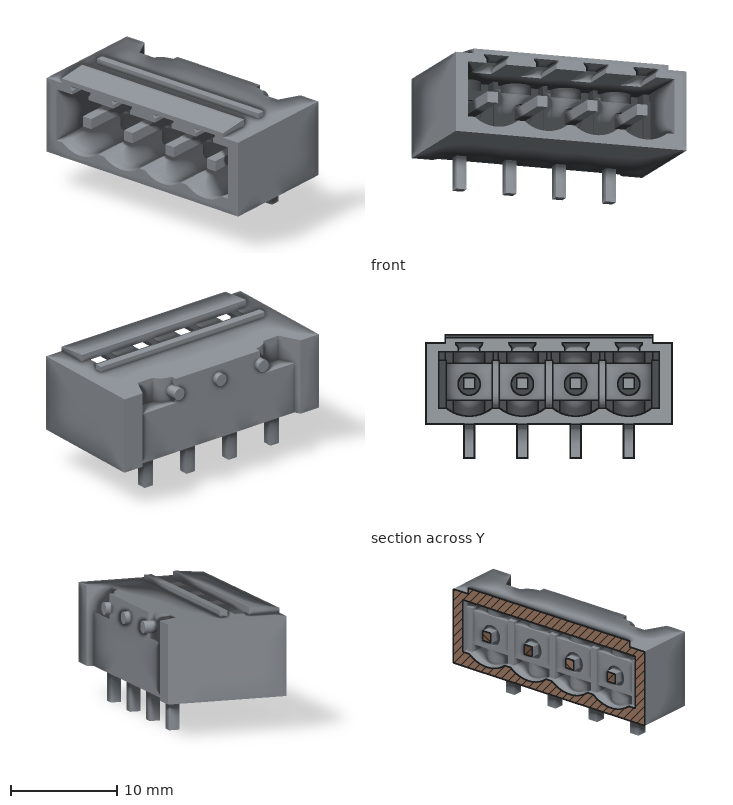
import cadquery as cq


pin_count = 4
pitch = 5.0
pin_width = 1.02
pin_height = 1.05
pin_axis_z = 3.83
pin_tip_y = 1.0
leg_front_y = 9.47
leg_length = 3.2

length = 23.2
depth = 12.0
height = 7.65

cavity_width = 20.79
cavity_floor_z = 1.5
roof_thickness = 0.84
cavity_roof_z = height - roof_thickness
wall_y = 6.5

cell_width = 4.32
cell_back_y = 8.35
trough_sag = 0.77
upper_cell_width = 4.55
upper_cell_z = 6.0
upper_divider_setback = 0.46
column_radius = 1.48
pin_block_z0 = 2.25
pin_block_z1 = 5.73
pin_block_setback = 0.19
counterbore_diameter = 2.09
counterbore_depth = 0.46
counterbore_axis_z = 3.75

slot_top_width = 2.5
slot_bottom_width = 2.02
slot_lip = 0.15
slot_taper_depth = 0.46
slot_depth = 4.15

ledge_width = 19.58
ledge_depth = 3.13
ledge_flat = 0.3
ledge_front_height = 0.46
ledge_back_height = 0.77
rib_front_y = 5.3
rib_depth = 0.75
rib_height = 0.6

back_setback = 0.58
corner_top_width = 2.15
corner_root_width = 3.2
notch_depth = 2.09
notch_height = 2.5
shoulder_radius = 1.9
shoulder_axis_y = 8.9
peg_radius = 0.6
peg_axis_z = 6.26
peg_positions = [-pitch, 0, pitch]

pin_positions = [(i - (pin_count - 1) / 2) * pitch for i in range(pin_count)]


def box(x_size, y0, y1, z0, z1, x=0):
    """Block centred on x, spanning y0 to y1 and z0 to z1."""
    block = cq.Workplane("XY").box(x_size, y1 - y0, z1 - z0, centered=(True, False, False))
    return block.translate((x, y0, z0))


def cylinder_along_y(radius, x, z, y0, y1):
    """Round bar on an axis parallel to Y."""
    return cq.Workplane("XZ", origin=(x, y0, z)).circle(radius).extrude(y0 - y1)


def make_pin(x):
    """Right-angled pin: a tail along Y to the front and a leg down through the underside."""
    leg_back_y = leg_front_y + pin_width
    top_z = pin_axis_z + pin_height / 2
    tail = box(pin_width, pin_tip_y, leg_back_y, top_z - pin_height, top_z, x)
    leg = box(pin_width, leg_front_y, leg_back_y, -leg_length, top_z, x)
    return tail.union(leg)


def trough(x):
    """Arc-bottomed groove in the cavity floor, running to the back of a cell."""
    return (
        cq.Workplane("XZ", origin=(x, 0, cavity_floor_z))
        .moveTo(-cell_width / 2, 0)
        .threePointArc((0, -trough_sag), (cell_width / 2, 0))
        .close()
        .extrude(-cell_back_y)
    )


def cell(x):
    """Recess behind the cavity for one pin, wider at its top."""
    lower = box(cell_width, wall_y, cell_back_y, cavity_floor_z, cavity_roof_z, x)
    upper = box(upper_cell_width, wall_y, cell_back_y, upper_cell_z, cavity_roof_z, x)
    return lower.union(upper)


def pin_support(x):
    """Upright column at the back of a cell and the block across it that the pin passes through."""
    column = (
        cq.Workplane("XY", origin=(x, cell_back_y, cavity_floor_z - trough_sag))
        .circle(column_radius)
        .extrude(cavity_roof_z - cavity_floor_z + trough_sag)
    )
    block_front_y = wall_y + pin_block_setback
    block = box(cell_width, block_front_y, cell_back_y, pin_block_z0, pin_block_z1, x)
    counterbore = cylinder_along_y(
        counterbore_diameter / 2, x, counterbore_axis_z, block_front_y, block_front_y + counterbore_depth
    )
    return column.union(block).cut(counterbore)


def keying_slot(x):
    """Slot through the cavity roof, open at the front and flared towards the top."""
    top = slot_top_width / 2
    bottom = slot_bottom_width / 2
    right_side = [(top, 0), (top, -slot_lip), (bottom, -slot_taper_depth), (bottom, -roof_thickness)]
    left_side = [(-px, pz) for px, pz in reversed(right_side)]
    outline = cq.Workplane("XZ", origin=(x, 0, height)).polyline(right_side + left_side).close()
    return outline.extrude(-slot_depth)


def make_ledge():
    """Latching ledge on the top face, rising from the front to a flat at its back."""
    return (
        cq.Workplane("YZ", origin=(-ledge_width / 2, 0, height))
        .polyline(
            [
                (0, 0),
                (ledge_depth, 0),
                (ledge_depth, ledge_back_height),
                (ledge_depth - ledge_flat, ledge_back_height),
                (0, ledge_front_height),
            ]
        )
        .close()
        .extrude(ledge_width)
    )


def cut_back(body):
    """Set the back face in between the corner blocks and notch its top beside them."""
    back_gap = (
        cq.Workplane("XY")
        .polyline(
            [
                (-length / 2 + corner_top_width, depth),
                (-length / 2 + corner_root_width, depth - notch_depth),
                (length / 2 - corner_root_width, depth - notch_depth),
                (length / 2 - corner_top_width, depth),
            ]
        )
        .close()
        .extrude(height)
    )
    notch_floor_z = height - notch_height
    back_y = depth - back_setback
    kept = box(length, 0, back_y, 0, notch_floor_z)
    kept = kept.union(box(2 * pitch, 0, back_y, 0, height))
    for x in (-pitch, pitch):
        kept = kept.union(
            cq.Workplane("XY", origin=(x, shoulder_axis_y, 0)).circle(shoulder_radius).extrude(height)
        )
    return body.cut(back_gap.cut(kept))


def make_housing(pins):
    """Moulded body with its cavity, supports, ledge, rib and pegs, and a hole for every pin."""
    body = cut_back(box(length, 0, depth, 0, height))

    body = body.cut(box(cavity_width, 0, wall_y, cavity_floor_z, cavity_roof_z))
    body = body.cut(box(cavity_width, wall_y, wall_y + upper_divider_setback, upper_cell_z, cavity_roof_z))

    for x in pin_positions:
        body = body.cut(trough(x)).cut(cell(x)).cut(keying_slot(x)).union(pin_support(x))

    body = body.union(make_ledge())
    body = body.union(box(ledge_width, rib_front_y, rib_front_y + rib_depth, height, height + rib_height))

    for x in peg_positions:
        body = body.union(cylinder_along_y(peg_radius, x, peg_axis_z, shoulder_axis_y, depth))

    for pin in pins:
        body = body.cut(pin)
    return body


pins = [make_pin(x) for x in pin_positions]
housing = make_housing(pins)

result = cq.Compound.makeCompound([housing.val(), *[pin.val() for pin in pins]])